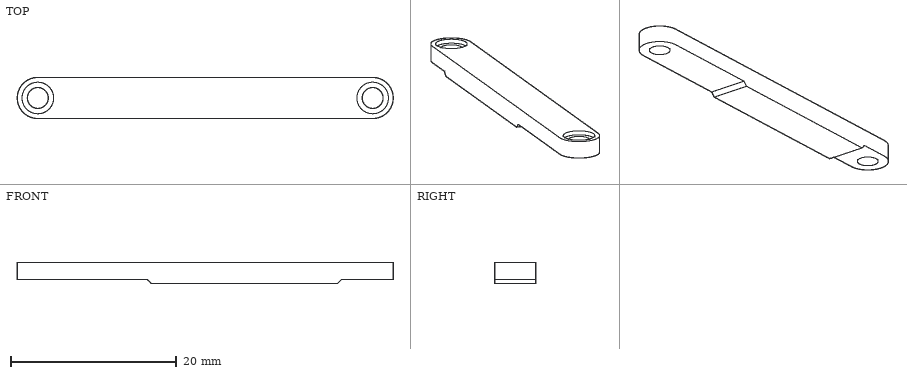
import cadquery as cq

length = 45.5
width = 5.0
total_height = 2.6
pad_height = 0.5
bar_height = total_height - pad_height
hole_spacing = length - width

hole_diameter = 2.5
counterbore_diameter = 3.8
counterbore_depth = 0.5

pad_left = -7.0
pad_right = 16.45


def make_bar():
    """Round-ended bar with its underside at Z = 0."""
    return cq.Workplane("XY").slot2D(length, width).extrude(bar_height)


def make_pad():
    """Full-width pad below the bar, narrowing downwards."""
    profile = [
        (pad_left, 0),
        (pad_right, 0),
        (pad_right - pad_height, -pad_height),
        (pad_left + pad_height, -pad_height),
    ]
    return cq.Workplane("XZ").polyline(profile).close().extrude(width / 2, both=True)


def drill_ends(body):
    """Counterbored through holes, entered from the top face."""
    return (
        body.faces(">Z")
        .workplane(origin=(0, 0, bar_height))
        .pushPoints([(-hole_spacing / 2, 0), (hole_spacing / 2, 0)])
        .cboreHole(hole_diameter, counterbore_diameter, counterbore_depth)
    )


result = drill_ends(make_bar().union(make_pad()))